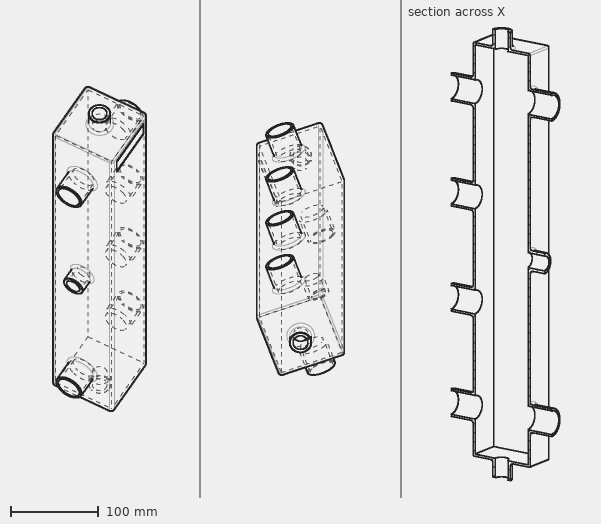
import cadquery as cq

TOTAL_LENGTH = 533.0
TOTAL_DEPTH = 140.0
BODY_SIDE = 80.0
WALL = 3.0
CORNER_RADIUS = 4.0
END_EDGE_RADIUS = 2.0

LARGE_OUTER = 33.5
LARGE_BORE = 27.5
LARGE_REACH = (TOTAL_DEPTH - BODY_SIDE) / 2
SMALL_OUTER = 25.0
SMALL_BORE = 17.0
SMALL_REACH = 20.0
WELD_RADIUS = 3.0
END_CHAMFER = 0.5

BODY_LENGTH = TOTAL_LENGTH - 2 * SMALL_REACH
HALF_SIDE = BODY_SIDE / 2
HALF_LENGTH = BODY_LENGTH / 2

OUTER_PORT_SPACING = 375.0
BACK_PORT_COUNT = 4
PORT_PITCH = OUTER_PORT_SPACING / (BACK_PORT_COUNT - 1)
OUTER_PORT_HEIGHT = OUTER_PORT_SPACING / 2

PLATE_WIDTH = 61.0
PLATE_HEIGHT = 19.0
PLATE_THICKNESS = 0.5
PLATE_CENTRE_HEIGHT = 227.5

FRONT = (0, -1, 0)
BACK = (0, 1, 0)
UP = (0, 0, 1)
DOWN = (0, 0, -1)


def housing_shell():
    """Closed square tube with rounded outer edges and a plain cavity."""
    outer = (
        cq.Workplane("XY")
        .box(BODY_SIDE, BODY_SIDE, BODY_LENGTH)
        .edges("|Z")
        .fillet(CORNER_RADIUS)
        .faces("<Z or >Z")
        .edges()
        .fillet(END_EDGE_RADIUS)
    )
    cavity = cq.Workplane("XY").box(
        BODY_SIDE - 2 * WALL, BODY_SIDE - 2 * WALL, BODY_LENGTH - 2 * WALL
    )
    return outer.cut(cavity)


def stub_with_weld(plane, outer_diameter, reach):
    """Solid stub rooted in the wall, with a concave weld at the face and a chamfered end."""
    radius = outer_diameter / 2
    profile = (
        cq.Workplane("XZ")
        .moveTo(0, -WALL / 2)
        .lineTo(radius + WELD_RADIUS, -WALL / 2)
        .lineTo(radius + WELD_RADIUS, 0)
        .radiusArc((radius, WELD_RADIUS), WELD_RADIUS)
        .lineTo(radius, reach - END_CHAMFER)
        .lineTo(radius - END_CHAMFER, reach)
        .lineTo(0, reach)
        .close()
    )
    stub = profile.revolve(360, (0, 0, 0), (0, 1, 0)).val()
    return stub.moved(plane.location)


def add_stub(body, face_point, direction, outer_diameter, bore, reach):
    """Weld a stub onto a housing face and bore it through the wall."""
    plane = cq.Plane(origin=face_point, normal=direction)
    stub = stub_with_weld(plane, outer_diameter, reach)
    hole = cq.Workplane(plane).workplane(offset=-WALL).circle(bore / 2).extrude(WALL + reach)
    return body.union(cq.Workplane(stub)).cut(hole)


def add_large_stub(body, direction, height):
    face_point = (0, direction[1] * HALF_SIDE, height)
    return add_stub(body, face_point, direction, LARGE_OUTER, LARGE_BORE, LARGE_REACH)


def add_small_stub(body, face_point, direction):
    return add_stub(body, face_point, direction, SMALL_OUTER, SMALL_BORE, SMALL_REACH)


result = housing_shell()

for index in range(BACK_PORT_COUNT):
    result = add_large_stub(result, BACK, index * PORT_PITCH - OUTER_PORT_HEIGHT)

for height in (-OUTER_PORT_HEIGHT, OUTER_PORT_HEIGHT):
    result = add_large_stub(result, FRONT, height)

result = add_small_stub(result, (0, -HALF_SIDE, 0), FRONT)
result = add_small_stub(result, (0, 0, HALF_LENGTH), UP)
result = add_small_stub(result, (0, 0, -HALF_LENGTH), DOWN)

name_plate = (
    cq.Workplane("YZ", origin=(HALF_SIDE, 0, PLATE_CENTRE_HEIGHT))
    .rect(PLATE_WIDTH, PLATE_HEIGHT)
    .extrude(PLATE_THICKNESS)
)
result = result.union(name_plate)